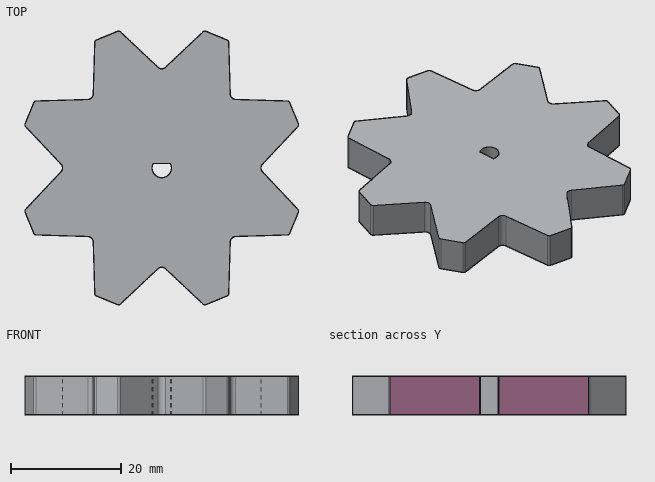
import cadquery as cq
import math

thickness = 7.0
tooth_count = 8
tip_distance = 25.95
valley_distance = 17.6
valley_half_angle = 46.7
tip_fillet = 0.5
valley_fillet = 1.0
bore_radius = 1.75
bore_flat_offset = 0.8

tooth_pitch = 360 / tooth_count
half_pitch = math.radians(tooth_pitch / 2)
flank_angle = math.radians(valley_half_angle) - half_pitch
valley_half_width = valley_distance * math.sin(half_pitch)
tooth_length = tip_distance - valley_distance * math.cos(half_pitch)
tip_half_width = valley_half_width - tooth_length * math.tan(flank_angle)


def polar_point(along, across, angle_degrees):
    """Place a point given along and across a tooth axis at the given angle."""
    angle = math.radians(angle_degrees)
    return (
        along * math.cos(angle) - across * math.sin(angle),
        along * math.sin(angle) + across * math.cos(angle),
    )


def rounded_at(body, radius_from_axis, fillet_radius):
    """Round the vertical edges lying at one distance from the centre axis."""
    tolerance = 0.005
    edges = [
        edge
        for edge in body.edges("|Z").vals()
        if abs(math.hypot(edge.Center().x, edge.Center().y) - radius_from_axis) < tolerance
    ]
    return body.newObject(edges).fillet(fillet_radius)


def star_wheel():
    outline = []
    for tooth in range(tooth_count):
        axis_angle = (tooth + 0.5) * tooth_pitch
        outline.append(polar_point(valley_distance, 0, tooth * tooth_pitch))
        outline.append(polar_point(tip_distance, -tip_half_width, axis_angle))
        outline.append(polar_point(tip_distance, tip_half_width, axis_angle))
    wheel = cq.Workplane("XY").polyline(outline).close().extrude(thickness)
    wheel = rounded_at(wheel, valley_distance, valley_fillet)
    return rounded_at(wheel, math.hypot(tip_distance, tip_half_width), tip_fillet)


def d_bore():
    flat_half_width = math.sqrt(bore_radius**2 - bore_flat_offset**2)
    return (
        cq.Workplane("XY")
        .moveTo(-flat_half_width, bore_flat_offset)
        .threePointArc((0, -bore_radius), (flat_half_width, bore_flat_offset))
        .close()
        .extrude(thickness)
    )


result = star_wheel().cut(d_bore())